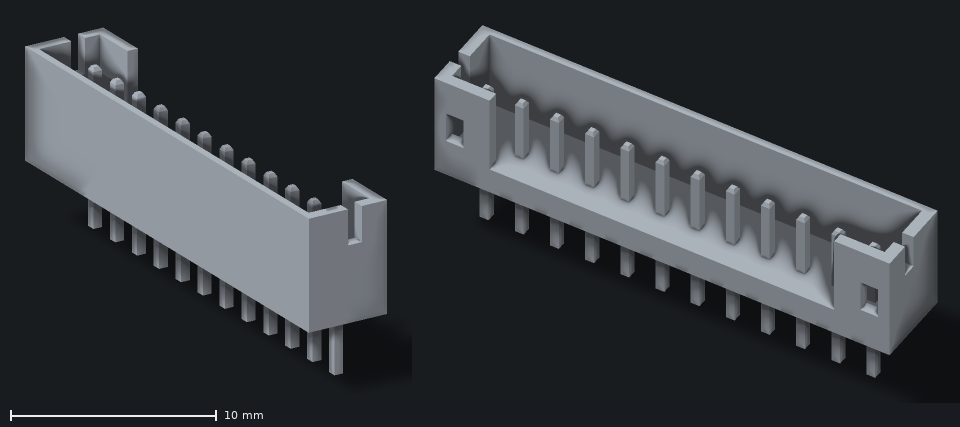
import cadquery as cq

PIN_COUNT = 12
PITCH = 2.0
END_MARGIN = 1.95
BACK_Y = 1.7
FRONT_Y = -2.8
HEIGHT = 6.0
END_WALL = 0.65
BACK_WALL = 0.6
FRONT_WALL = 0.4
FLOOR = 1.5

ROW_LENGTH = (PIN_COUNT - 1) * PITCH
LENGTH = ROW_LENGTH + 2 * END_MARGIN
CAVITY_LENGTH = LENGTH - 2 * END_WALL
CAVITY_BACK_Y = BACK_Y - BACK_WALL

BACK_RETURN = 3.15

SLOT_FRONT_Y = -0.55
SLOT_BACK_Y = 0.25
SLOT_DEPTH = 1.9

WINDOW_WIDTH = 1.0
WINDOW_BOTTOM = 2.2
WINDOW_TOP = 4.0

PIN_SIZE = 0.5
PIN_BOTTOM = -3.4
PIN_TOP = 5.05
TIP_HEIGHT = 0.2
TIP_INSET = 0.11


def block(x_range, y_range, z_range):
    """Box spanning the given (low, high) limits on each axis."""
    limits = (x_range, y_range, z_range)
    sizes = [high - low for low, high in limits]
    corner = tuple(low for low, high in limits)
    return cq.Workplane("XY").box(*sizes, centered=False).translate(corner)


def centred(length):
    """Limits of a span centred on zero."""
    return (-length / 2, length / 2)


def make_housing():
    housing = block(centred(LENGTH), (FRONT_Y, BACK_Y), (0, HEIGHT))
    cavity = block(centred(CAVITY_LENGTH), (FRONT_Y + FRONT_WALL, CAVITY_BACK_Y), (FLOOR, HEIGHT))
    back_opening = block(centred(LENGTH - 2 * BACK_RETURN), (CAVITY_BACK_Y, BACK_Y), (FLOOR, HEIGHT))
    end_slots = block(centred(LENGTH), (SLOT_FRONT_Y, SLOT_BACK_Y), (HEIGHT - SLOT_DEPTH, HEIGHT))
    housing = housing.cut(cavity).cut(back_opening).cut(end_slots)

    window_outer_x = CAVITY_LENGTH / 2
    window = block(
        (window_outer_x - WINDOW_WIDTH, window_outer_x),
        (CAVITY_BACK_Y, BACK_Y),
        (WINDOW_BOTTOM, WINDOW_TOP),
    )
    return housing.cut(window).cut(window.mirror("YZ"))


def make_pin(x):
    shank_top = PIN_TOP - TIP_HEIGHT
    shank = block(centred(PIN_SIZE), centred(PIN_SIZE), (PIN_BOTTOM, shank_top))
    tip_size = PIN_SIZE - 2 * TIP_INSET
    tip = (
        cq.Workplane("XY", origin=(0, 0, shank_top))
        .rect(PIN_SIZE, PIN_SIZE)
        .workplane(offset=TIP_HEIGHT)
        .rect(tip_size, tip_size)
        .loft(ruled=True)
    )
    return shank.union(tip).translate((x, 0, 0))


result = make_housing()
for index in range(PIN_COUNT):
    result = result.union(make_pin(index * PITCH - ROW_LENGTH / 2))